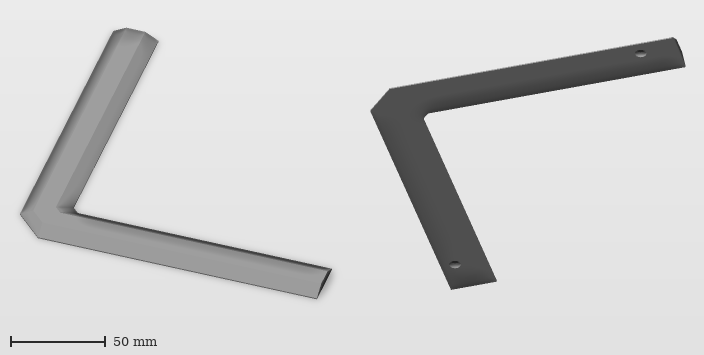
import cadquery as cq

ARM_LENGTH = 170.0
HEIGHT = 5.0
ARM_WIDTH = 25.2
LIP_HEIGHT = 0.7

BEVEL_RUN = 7.3
OUTER_CLIP_BASE = 15.0
OUTER_CLIP_TOP = OUTER_CLIP_BASE - BEVEL_RUN
INNER_CLIP = 3.5

POCKET_DIAMETER = 6.1
POCKET_DEPTH = 3.4
POCKET_FROM_END = 19.7
POCKET_FROM_SIDE = 7.8


def corner_outline(inset, outer_clip):
    """Points of the L outline with both long sides moved in by inset."""
    outer = inset
    inner = ARM_WIDTH - inset
    return [
        (outer + outer_clip, outer),
        (ARM_LENGTH, outer),
        (ARM_LENGTH, inner),
        (inner + INNER_CLIP, inner),
        (inner, inner + INNER_CLIP),
        (inner, ARM_LENGTH),
        (outer, ARM_LENGTH),
        (outer, outer + outer_clip),
    ]


base_outline = corner_outline(0, OUTER_CLIP_BASE)
top_outline = corner_outline(BEVEL_RUN, OUTER_CLIP_TOP)

lip = cq.Workplane("XY").polyline(base_outline).close().extrude(LIP_HEIGHT)
bevelled_body = (
    cq.Workplane("XY", origin=(0, 0, LIP_HEIGHT))
    .polyline(base_outline).close()
    .workplane(offset=HEIGHT - LIP_HEIGHT)
    .polyline(top_outline).close()
    .loft(ruled=True)
)

pocket_along_arm = ARM_LENGTH - POCKET_FROM_END
pockets = (
    cq.Workplane("XY")
    .pushPoints([(POCKET_FROM_SIDE, pocket_along_arm), (pocket_along_arm, POCKET_FROM_SIDE)])
    .circle(POCKET_DIAMETER / 2)
    .extrude(POCKET_DEPTH)
)

result = lip.union(bevelled_body).cut(pockets)